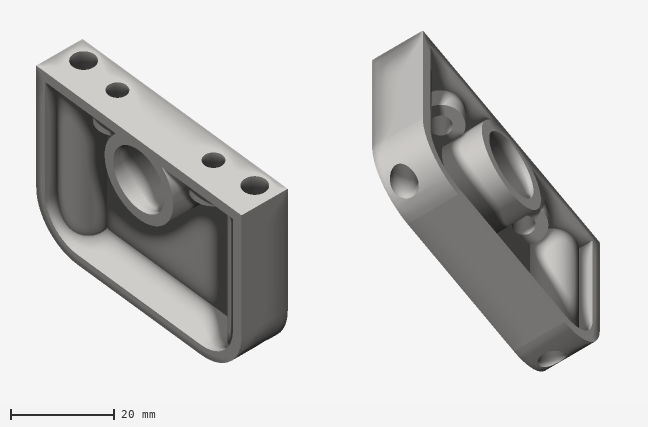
import cadquery as cq

width = 60.0
depth = 12.0
height = 43.0
wall = 2.5
floor_thickness = 2.5
corner_radius = 12.0

bore_diameter = 15.0
sleeve_diameter = bore_diameter + 2 * wall
bore_drop = wall + bore_diameter / 2

column_diameter = 10.6
column_hole_diameter = 5.6
column_x = 25.0
column_from_back = 4.15

boss_diameter = 9.6
boss_hole_diameter = 4.6
boss_x = 14.05
boss_from_back = 5.1
boss_length = 7.7

top_z = height / 2
back_y = depth / 2
bore_z = top_z - bore_drop


def rounded_plate(inset, front_y, thickness):
    """Plate with rounded lower corners, inset from the outer outline."""
    return (
        cq.Workplane("XY")
        .box(width - 2 * inset, thickness, height - 2 * inset)
        .edges("|Y and <Z")
        .fillet(corner_radius - inset)
        .translate((0, front_y + thickness / 2, 0))
    )


def cross_cylinder(diameter):
    """Cylinder along Y through the whole depth, on the bore axis."""
    return cq.Workplane("XZ", origin=(0, back_y, bore_z)).circle(diameter / 2).extrude(depth)


def hanging_cylinders(x, from_back, diameter, length):
    """Mirrored pair of vertical cylinders running down from the top face."""
    return (
        cq.Workplane("XY", origin=(0, back_y - from_back, top_z))
        .pushPoints([(-x, 0), (x, 0)])
        .circle(diameter / 2)
        .extrude(-length)
    )


outer = rounded_plate(0, -back_y, depth)
cavity = rounded_plate(wall, -back_y, depth - floor_thickness)

columns = hanging_cylinders(column_x, column_from_back, column_diameter, height)
bosses = hanging_cylinders(boss_x, boss_from_back, boss_diameter, boss_length)
sleeve = cross_cylinder(sleeve_diameter)
supports = columns.union(bosses).union(sleeve).intersect(outer)

body = outer.cut(cavity).union(supports)

body = body.cut(cross_cylinder(bore_diameter))
body = body.cut(hanging_cylinders(column_x, column_from_back, column_hole_diameter, height))
result = body.cut(hanging_cylinders(boss_x, boss_from_back, boss_hole_diameter, boss_length))